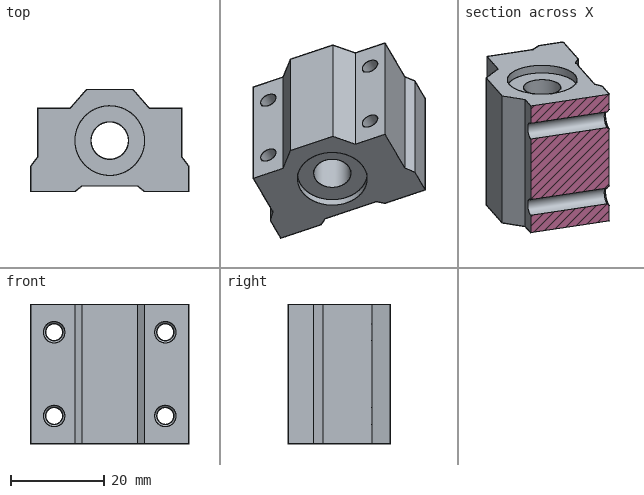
import cadquery as cq

width = 34.0
height = 22.0
length = 30.0

body_width = 31.0
flare_start = 5.5
flare_end = 7.5
shoulder_height = 18.0
crown_base_width = 17.0
crown_top_width = 10.0
relief_mouth_width = 15.0
relief_floor_width = 12.0
relief_depth = 1.2

bore_height = 11.0
bore_diameter = 8.0
seat_diameter = 15.0
seat_depth = 1.8

hole_spacing_x = 23.9
hole_spacing_z = 18.0
hole_diameter = 3.6
countersink_diameter = 4.6
countersink_depth = (countersink_diameter - hole_diameter) / 2

mounting_face = -bore_height


def make_block():
    """Extrude the symmetric rail-block cross-section along Z."""
    right_half = [
        (relief_floor_width / 2, relief_depth),
        (relief_mouth_width / 2, 0),
        (width / 2, 0),
        (width / 2, flare_start),
        (body_width / 2, flare_end),
        (body_width / 2, shoulder_height),
        (crown_base_width / 2, shoulder_height),
        (crown_top_width / 2, height),
    ]
    left_half = [(-x, y) for x, y in reversed(right_half)]
    return (
        cq.Workplane("XY", origin=(0, mounting_face, -length / 2))
        .polyline(right_half + left_half)
        .close()
        .extrude(length)
    )


def make_shaft_bore():
    """Through bore with a shallow bearing seat at each end."""
    bore = cq.Workplane("XY").circle(bore_diameter / 2).extrude(length / 2, both=True)
    seats = cq.Workplane("XY").circle(seat_diameter / 2).extrude(length / 2, both=True)
    core = cq.Workplane("XY").circle(seat_diameter / 2).extrude(length / 2 - seat_depth, both=True)
    return bore.union(seats.cut(core))


def make_mounting_hole(x, z):
    """Hole along Y through the block, countersunk at the mounting face."""
    profile = [
        (0, 0),
        (countersink_diameter / 2, 0),
        (hole_diameter / 2, countersink_depth),
        (hole_diameter / 2, height),
        (0, height),
    ]
    return (
        cq.Workplane("XY", origin=(x, mounting_face, z))
        .polyline(profile)
        .close()
        .revolve(360, (0, 0), (0, 1))
    )


result = make_block().cut(make_shaft_bore())
for side_x in (-1, 1):
    for side_z in (-1, 1):
        hole = make_mounting_hole(side_x * hole_spacing_x / 2, side_z * hole_spacing_z / 2)
        result = result.cut(hole)